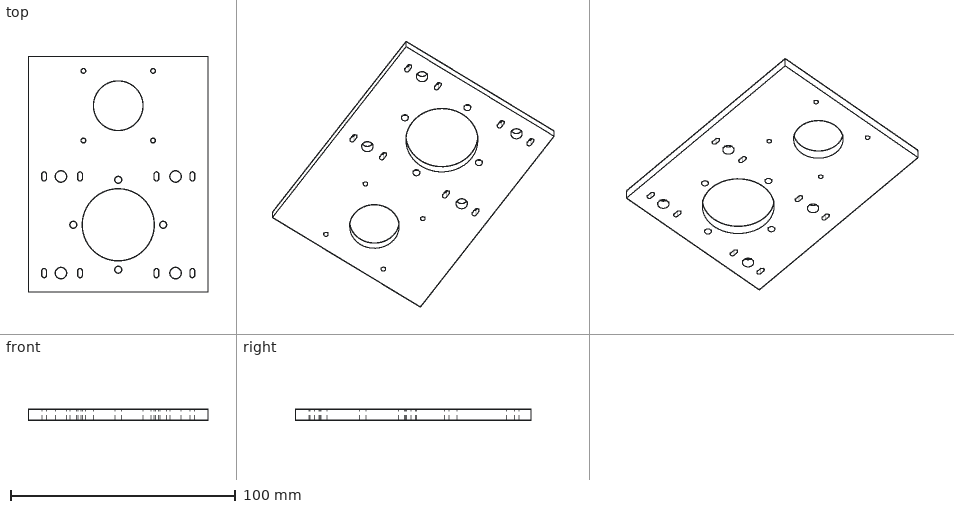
import cadquery as cq

plate_width = 80.0
plate_length = 105.0
plate_thickness = 5.0

small_bore_diameter = 22.0
small_bore_y = 30.5
small_screw_diameter = 2.0
small_screw_spacing = 31.0

large_bore_diameter = 32.0
large_bore_y = -22.5
large_screw_diameter = 3.0
large_bolt_circle_radius = 20.0
large_screw_count = 4

mount_row_spacing = 43.0
mount_hole_diameter = 5.0
mount_hole_x = 25.5
slot_pair_x = 25.0
slot_pair_spacing = 16.0
slot_width = 2.0
slot_length = 4.0
slot_angle = 90.0


def make_plate():
    return cq.Workplane("XY").box(
        plate_width, plate_length, plate_thickness, centered=(True, True, False)
    )


def top_plane(body, y_centre):
    """Workplane on the top face with its origin on the plate's centre line."""
    return body.faces(">Z").workplane(origin=(0, y_centre, 0))


def cut_small_bore(body):
    body = top_plane(body, small_bore_y).hole(small_bore_diameter)
    screws = top_plane(body, small_bore_y).rect(
        small_screw_spacing, small_screw_spacing, forConstruction=True
    )
    return screws.vertices().hole(small_screw_diameter)


def cut_large_bore(body):
    body = top_plane(body, large_bore_y).hole(large_bore_diameter)
    screws = top_plane(body, large_bore_y).polarArray(
        large_bolt_circle_radius, 0, 360, large_screw_count
    )
    return screws.hole(large_screw_diameter)


def cut_mounts(body):
    row_offsets = (-mount_row_spacing / 2, mount_row_spacing / 2)
    slot_offsets = (-slot_pair_spacing / 2, slot_pair_spacing / 2)
    hole_points = []
    slot_points = []
    for side in (-1, 1):
        for y in row_offsets:
            hole_points.append((side * mount_hole_x, y))
            for offset in slot_offsets:
                slot_points.append((side * slot_pair_x + offset, y))
    body = top_plane(body, large_bore_y).pushPoints(hole_points).hole(mount_hole_diameter)
    slots = top_plane(body, large_bore_y).pushPoints(slot_points)
    return slots.slot2D(slot_length, slot_width, slot_angle).cutThruAll()


result = make_plate()
result = cut_small_bore(result)
result = cut_large_bore(result)
result = cut_mounts(result)